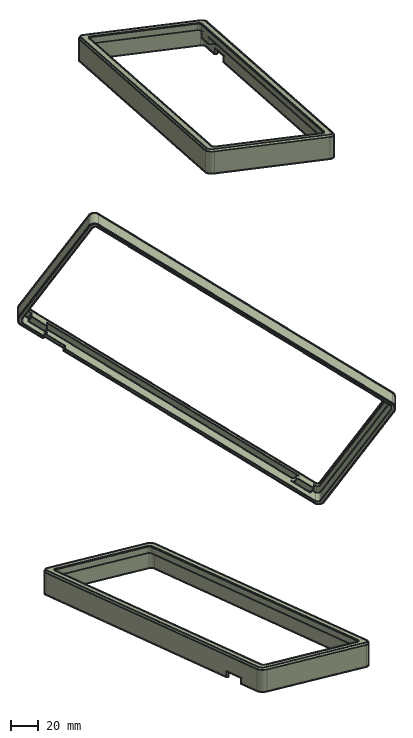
import cadquery as cq
import math

length = 264.8
width = 98.3
height = 18.5
corner_radius = 5.0
top_chamfer_rise = 1.5
top_chamfer_run = 1.0
bottom_chamfer = 0.5

opening_length = 252.0
opening_width = 85.3
opening_radius = 2.0
opening_chamfer = 0.5
lip_thickness = 5.3

side_wall = 3.0
long_wall = 2.0
cavity_radius = 3.0

block_inner_x = 108.0
block_outer_x = 122.4
block_bottom = 8.2
block_edge_radius = 1.3
block_root_radius = 2.5

notch_start_x = -block_inner_x
notch_end_x = -90.3
notch_height = 4.8

lip_bottom = height - lip_thickness
cavity_length = length - 2 * side_wall
cavity_width = width - 2 * long_wall
opening_back_y = opening_width / 2
cavity_back_y = cavity_width / 2


def rounded_block(size_x, size_y, bottom, top, radius):
    """Upright block centred on the Z axis, with rounded vertical edges."""
    block = cq.Workplane("XY").workplane(offset=bottom).rect(size_x, size_y).extrude(top - bottom)
    return block.edges("|Z").fillet(radius)


def make_body():
    """Solid outer shape with chamfered top and bottom rims."""
    body = rounded_block(length, width, 0, height, corner_radius)
    body = body.faces(">Z").chamfer(top_chamfer_rise, top_chamfer_run)
    return body.faces("<Z").chamfer(bottom_chamfer)


def cut_opening(body):
    """Through opening with a chamfered top rim."""
    opening = rounded_block(opening_length, opening_width, 0, height, opening_radius)
    opened = body.cut(opening)
    top_rim = opened.faces(">Z").val().innerWires()[0]
    return opened.newObject(top_rim.Edges()).chamfer(opening_chamfer)


def make_support_block():
    """Block at +X: its inner end has a rounded front edge and a root curving into the back wall."""
    cos_45 = math.cos(math.radians(45))
    root_x = block_inner_x - block_root_radius
    root_y = cavity_back_y - block_root_radius
    overlap_y = cavity_back_y + long_wall / 2
    bend = block_root_radius * cos_45
    edge = block_edge_radius
    edge_bend = edge * (1 - cos_45)
    return (
        cq.Workplane("XY")
        .workplane(offset=block_bottom)
        .moveTo(root_x, overlap_y)
        .lineTo(root_x, cavity_back_y)
        .threePointArc((root_x + bend, root_y + bend), (block_inner_x, root_y))
        .lineTo(block_inner_x, opening_back_y + edge)
        .threePointArc(
            (block_inner_x + edge_bend, opening_back_y + edge_bend),
            (block_inner_x + edge, opening_back_y),
        )
        .lineTo(block_outer_x, opening_back_y)
        .lineTo(block_outer_x, overlap_y)
        .close()
        .extrude(lip_bottom - block_bottom)
    )


def make_cable_notch():
    """Slot through the back wall, open at the bottom."""
    return (
        cq.Workplane("XY")
        .box(notch_end_x - notch_start_x, width / 2 - opening_back_y, notch_height, centered=False)
        .translate((notch_start_x, opening_back_y, 0))
    )


frame = cut_opening(make_body())
frame = frame.cut(rounded_block(cavity_length, cavity_width, 0, lip_bottom, cavity_radius))
right_block = make_support_block()
frame = frame.union(right_block).union(right_block.mirror("YZ"))
frame = frame.cut(make_cable_notch())

result = frame.translate((0, 0, -height / 2))